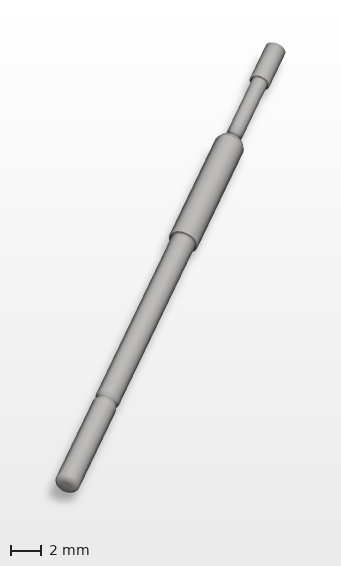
import cadquery as cq
import math


total_length = 39.3
collar_start = 22.0
collar_end = 31.0
tip_length = 3.0

barrel_radius = 1.65 / 2
collar_radius = 2.0 / 2
stem_radius = 1.05 / 2
tip_radius = 1.38 / 2

barrel_end_rounding = 0.4

collar_taper_length = 0.35
collar_taper_drop = 0.2

groove_center = 7.5
groove_width = 0.6
groove_depth = 0.1

diagonal = math.sqrt(0.5)


def turned_body():
    """Revolve the half profile, with X as the radius, about the Y axis."""
    end_arc_center = barrel_radius - barrel_end_rounding
    groove_low = groove_center - groove_width / 2
    groove_high = groove_center + groove_width / 2
    tip_start = total_length - tip_length

    profile = (
        cq.Workplane("XY")
        .lineTo(end_arc_center, 0)
        .threePointArc(
            (
                end_arc_center + barrel_end_rounding * diagonal,
                barrel_end_rounding * (1 - diagonal),
            ),
            (barrel_radius, barrel_end_rounding),
        )
        .lineTo(barrel_radius, groove_low)
        .lineTo(barrel_radius - groove_depth, groove_center)
        .lineTo(barrel_radius, groove_high)
        .lineTo(barrel_radius, collar_start)
        .lineTo(collar_radius, collar_start)
        .lineTo(collar_radius, collar_end - collar_taper_length)
        .lineTo(collar_radius - collar_taper_drop, collar_end)
        .lineTo(stem_radius, collar_end)
        .lineTo(stem_radius, tip_start)
        .lineTo(tip_radius, tip_start)
        .lineTo(tip_radius, total_length)
        .lineTo(0, total_length)
        .close()
    )
    return profile.revolve(360, (0, 0, 0), (0, 1, 0))


result = turned_body()